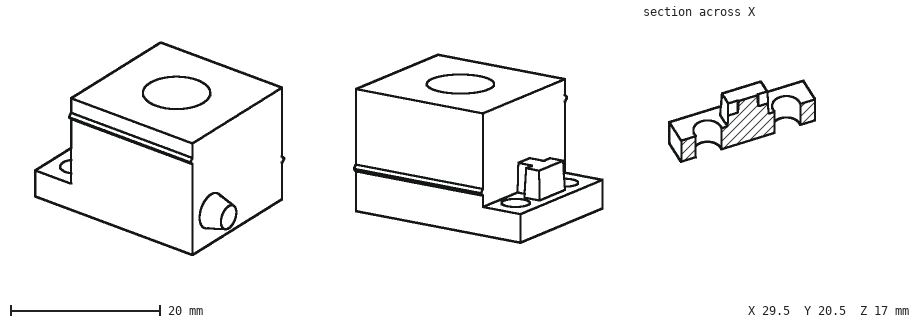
import cadquery as cq
import math

body_width = 19.55
body_height = 17.0
flange_length = 6.05
flange_height = 3.98
body_end = 26.52
bore_diameter = 9.0
bore_x = (flange_length + body_end) / 2

screw_diameter = 3.8
screw_x = 3.5
screw_spacing = 11.5

key_height = 4.07
key_x = 1.5
key_head_length = 2.45
key_head_width = 6.05
key_stem_width = 3.07
key_inset = 0.18

nozzle_end = 29.5
nozzle_base_diameter = 4.95
nozzle_tip_diameter = 3.35
nozzle_y = -screw_spacing / 2
nozzle_z = 5.02

ridge_depth = 0.47
front_ridge_z = 14.3
rear_ridge_z = 6.02


def make_block():
    """L-shaped profile extruded symmetrically across the width."""
    profile = [
        (0, 0),
        (body_end, 0),
        (body_end, body_height),
        (flange_length, body_height),
        (flange_length, flange_height),
        (0, flange_height),
    ]
    return cq.Workplane("XZ").polyline(profile).close().extrude(body_width / 2, both=True)


def make_ridge(side, z):
    """Ridge with 45 degree flanks; side is -1 or +1 along Y."""
    face_y = side * body_width / 2
    profile = [
        (face_y, z - ridge_depth),
        (face_y + side * ridge_depth, z),
        (face_y, z + ridge_depth),
    ]
    return (
        cq.Workplane("YZ", origin=(flange_length, 0, 0))
        .polyline(profile).close()
        .extrude(body_end - flange_length)
    )


def make_key():
    """T-shaped key whose walls lean inward, with its stem running into the block."""
    stem_start = key_x + key_head_length
    stem_end = flange_length + 2 * key_inset
    head = key_head_width / 2
    stem = key_stem_width / 2
    profile = [
        (key_x, -head),
        (stem_start, -head),
        (stem_start, -stem),
        (stem_end, -stem),
        (stem_end, stem),
        (stem_start, stem),
        (stem_start, head),
        (key_x, head),
    ]
    taper = math.degrees(math.atan2(key_inset, key_height))
    return (
        cq.Workplane("XY", origin=(0, 0, flange_height))
        .polyline(profile).close()
        .extrude(key_height, taper=taper)
    )


def make_nozzle():
    """Solid truncated cone pointing along +X."""
    return (
        cq.Workplane("YZ", origin=(body_end, nozzle_y, nozzle_z))
        .circle(nozzle_base_diameter / 2)
        .workplane(offset=nozzle_end - body_end)
        .circle(nozzle_tip_diameter / 2)
        .loft(ruled=True)
    )


def make_vertical_hole(x, y, diameter):
    """Cutter passing through the full height."""
    return cq.Workplane("XY").center(x, y).circle(diameter / 2).extrude(body_height)


result = make_block()
result = result.union(make_ridge(-1, front_ridge_z))
result = result.union(make_ridge(1, rear_ridge_z))
result = result.union(make_key())
result = result.union(make_nozzle())
result = result.cut(make_vertical_hole(bore_x, 0, bore_diameter))
for side in (-1, 1):
    result = result.cut(make_vertical_hole(screw_x, side * screw_spacing / 2, screw_diameter))